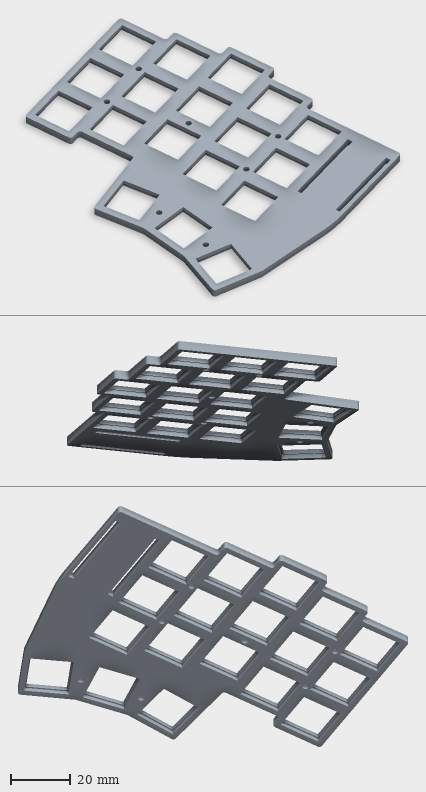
import cadquery as cq
import math


length = 115.3
width = 99.2
thickness = 3.0
corner_radius = 1.0

column_steps = [0, 1, 2, 1, 0]
row_count = 3
finger_block_width = 95.2
pitch = finger_block_width / len(column_steps)
stagger = pitch / 4

cutout = 14.0
clip_cutout = 15.0
lip_thickness = 1.5

inner_thumb = (37.8, -37.3, -25)
middle_thumb = (16.8, -30.8, -10)
outer_thumb = (-5.1, -29.9, 5)
thumb_keys = [outer_thumb, middle_thumb, inner_thumb]

hole_diameter = 2.2
thumb_hole_shift = 0.9

slot_length = 30.2
slot_width = 2.0
slot_y = 20.5
slot_xs = [39.8, 55.4]

right_edge_bend_y = 0.0
bend_radius = 42.6

left = -length / 2
right = length / 2
base_top = width / 2 - max(column_steps) * stagger
base_bottom = base_top - row_count * pitch
base_middle = (base_top + base_bottom) / 2


def column_edge(index):
    """X of the left border of a finger column."""
    return left + index * pitch


def turned_point(key, dx, dy):
    """Point at a local offset from a rotated thumb key centre."""
    x, y, degrees = key
    angle = math.radians(degrees)
    return (
        x + dx * math.cos(angle) - dy * math.sin(angle),
        y + dx * math.sin(angle) + dy * math.cos(angle),
    )


def tile_corner(key, side_x, side_y):
    """Corner of a thumb key tile; the sides are -1 or +1."""
    return turned_point(key, side_x * pitch / 2, side_y * pitch / 2)


def round_corners(body, corners, radius):
    """Round the vertical edges standing at the given outline corners."""
    edges = cq.Workplane("XY")
    for x, y in corners:
        edges = edges.add(body.edges(cq.NearestToPointSelector((x, y, thickness / 2))))
    return body.newObject(edges.vals()).fillet(radius)


def plate():
    """Solid plate with rounded corners and no openings."""
    thumb_start = tile_corner(outer_thumb, -1, -1)
    notch_y = base_bottom + stagger
    notch_x = thumb_start[0] - (notch_y - thumb_start[1]) * math.tan(math.radians(outer_thumb[2]))

    stepped_top = []
    for index, steps in enumerate(column_steps):
        top = base_top + steps * stagger
        stepped_top.append((column_edge(index), top))
        if index < len(column_steps) - 1:
            stepped_top.append((column_edge(index + 1), top))
    thumb_border = [
        tile_corner(inner_thumb, 1, 1),
        tile_corner(inner_thumb, 1, -1),
        tile_corner(middle_thumb, 1, -1),
        tile_corner(middle_thumb, -1, -1),
        thumb_start,
    ]
    stepped_bottom = [
        (notch_x, notch_y),
        (column_edge(1), notch_y),
        (column_edge(1), base_bottom),
        (left, base_bottom),
    ]
    bend = (right, right_edge_bend_y)
    upper_side = stepped_top + [(right, base_top)]
    lower_side = thumb_border + stepped_bottom

    body = cq.Workplane("XY").polyline(upper_side + [bend] + lower_side).close().extrude(thickness)
    body = round_corners(body, [bend], bend_radius)
    return round_corners(body, upper_side + lower_side, corner_radius)


def finger_keys():
    """Position and rotation of every key in the staggered columns."""
    keys = []
    for index, steps in enumerate(column_steps):
        for row in range(row_count):
            x = column_edge(index) + pitch / 2
            y = base_bottom + steps * stagger + (row + 0.5) * pitch
            keys.append((x, y, 0))
    return keys


def switch_opening(key):
    """Square stepped opening, turned with its key."""
    x, y, degrees = key
    through = cq.Workplane("XY").rect(cutout, cutout).extrude(thickness)
    undercut = cq.Workplane("XY").rect(clip_cutout, clip_cutout).extrude(thickness - lip_thickness)
    opening = through.union(undercut)
    return opening.rotate((0, 0, 0), (0, 0, 1), degrees).translate((x, y, 0))


def slots():
    """Two long slots parallel to the finger columns."""
    centres = [(x, slot_y) for x in slot_xs]
    return cq.Workplane("XY").pushPoints(centres).rect(slot_width, slot_length).extrude(thickness)


def screw_holes():
    """Holes between the finger keys and between neighbouring thumb keys."""
    centres = [((column_edge(2) + column_edge(3)) / 2, base_middle)]
    for edge in (1, len(column_steps) - 1):
        for side in (-1, 1):
            y = base_middle + side * pitch / 2 + stagger / 2
            centres.append((column_edge(edge), y))
    for first, second in zip(thumb_keys, thumb_keys[1:]):
        halfway = tuple((a + b) / 2 for a, b in zip(first, second))
        centres.append(turned_point(halfway, 0, thumb_hole_shift))
    return cq.Workplane("XY").pushPoints(centres).circle(hole_diameter / 2).extrude(thickness)


result = plate().cut(slots()).cut(screw_holes())
for switch_key in finger_keys() + thumb_keys:
    result = result.cut(switch_opening(switch_key))